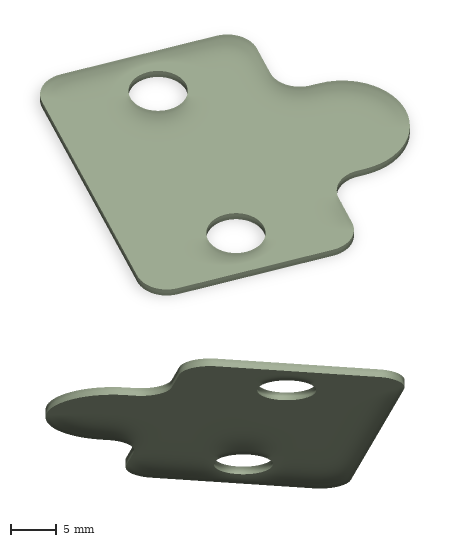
import cadquery as cq

width = 37.6
overall_depth = 37.4
body_depth = 25.4
thickness = 0.9
corner_radius = 3.5

tab_width = 15.0
tab_radius = tab_width / 2

hole_diameter = 6.58
hole_spacing = 25.0

body_top = body_depth / 2
tab_tip = overall_depth - body_top
tab_center = tab_tip - tab_radius


def make_body():
    """Rectangular plate centred on the origin, with rounded corners."""
    body = cq.Workplane("XY").rect(width, body_depth).extrude(thickness)
    return body.edges("|Z").fillet(corner_radius)


def make_tab():
    """Tab with a semicircular end, reaching from the body centre line."""
    return (
        cq.Workplane("XY")
        .moveTo(-tab_radius, 0)
        .lineTo(tab_radius, 0)
        .lineTo(tab_radius, tab_center)
        .threePointArc((0, tab_tip), (-tab_radius, tab_center))
        .close()
        .extrude(thickness)
    )


def blend_tab(plate):
    """Round the two inner corners where the tab leaves the body."""
    for side in (-1, 1):
        inner_corner = (side * tab_radius, body_top, thickness / 2)
        selector = cq.selectors.NearestToPointSelector(inner_corner)
        plate = plate.edges("|Z").edges(selector).fillet(corner_radius)
    return plate


def cut_holes(plate):
    """Cut the pair of through holes."""
    holes = (
        cq.Workplane("XY")
        .rarray(hole_spacing, 0.38, 2, 1)
        .circle(hole_diameter / 2)
        .extrude(thickness)
    )
    return plate.cut(holes)


result = cut_holes(blend_tab(make_body().union(make_tab())))